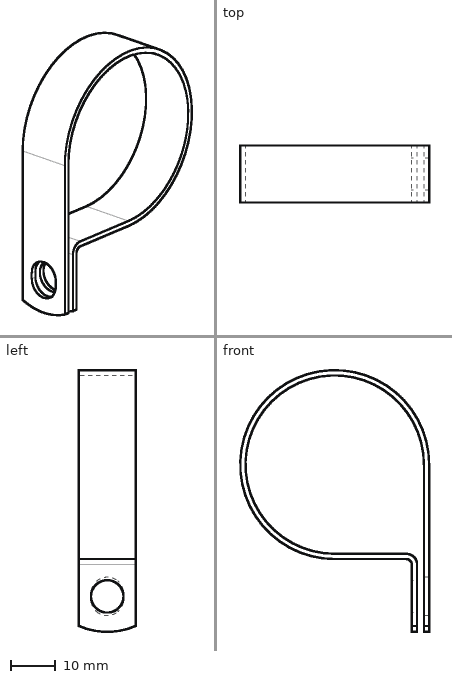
import cadquery as cq
import math

total_height = 58.3
loop_diameter = 42.1
strip_width = 12.7
thickness = 1.2

leg_gap = 1.45
bend_inner_radius = 1.2
hole_diameter = 7.15
slot_length = 8.55
hole_height = 7.9
tip_sagitta = 1.35

outer_radius = loop_diameter / 2
inner_radius = outer_radius - thickness
tip_z = outer_radius - total_height
short_leg_outer_x = inner_radius - leg_gap
short_leg_inner_x = short_leg_outer_x - thickness
bend_outer_radius = bend_inner_radius + thickness
bend_x = short_leg_inner_x - bend_inner_radius
bend_z = -outer_radius - bend_inner_radius


def bent_strip():
    """Loop of constant thickness with a straight long leg and a bent short leg."""
    diagonal = math.cos(math.radians(45))
    return (
        cq.Workplane("XZ", origin=(0, -strip_width / 2, 0))
        .moveTo(outer_radius, tip_z)
        .lineTo(outer_radius, 0)
        .threePointArc((-outer_radius * diagonal, outer_radius * diagonal), (0, -outer_radius))
        .lineTo(bend_x, -outer_radius)
        .radiusArc((short_leg_inner_x, bend_z), bend_inner_radius)
        .lineTo(short_leg_inner_x, tip_z)
        .lineTo(short_leg_outer_x, tip_z)
        .lineTo(short_leg_outer_x, bend_z)
        .radiusArc((bend_x, -inner_radius), -bend_outer_radius)
        .lineTo(0, -inner_radius)
        .threePointArc((-inner_radius * diagonal, inner_radius * diagonal), (inner_radius, 0))
        .lineTo(inner_radius, tip_z)
        .close()
        .extrude(-strip_width)
    )


def rounded_tip_envelope():
    """Oversized block around the loop whose underside follows the arc of the leg tips."""
    half_width = strip_width / 2
    corner_z = tip_z + tip_sagitta
    return (
        cq.Workplane("YZ")
        .moveTo(-half_width, corner_z)
        .threePointArc((0, tip_z), (half_width, corner_z))
        .lineTo(half_width, loop_diameter)
        .lineTo(-half_width, loop_diameter)
        .close()
        .extrude(loop_diameter, both=True)
    )


def leg_hole_plane(leg_inner_x):
    """YZ plane at the hole centre, on the leg face nearer the loop axis."""
    return cq.Workplane("YZ", origin=(leg_inner_x, 0, tip_z + hole_height))


def short_leg_hole():
    """Round bolt hole through the short leg."""
    return leg_hole_plane(short_leg_inner_x).circle(hole_diameter / 2).extrude(thickness)


def long_leg_slot():
    """Vertical bolt slot through the long leg."""
    return leg_hole_plane(inner_radius).slot2D(slot_length, hole_diameter, 90).extrude(thickness)


result = (
    bent_strip()
    .intersect(rounded_tip_envelope())
    .cut(short_leg_hole())
    .cut(long_leg_slot())
)